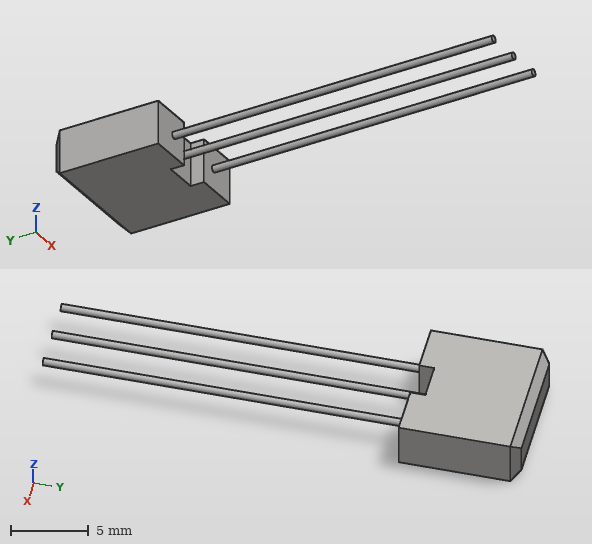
import cadquery as cq

body_width = 9.0
body_length = 8.0
body_thickness = 3.2
rear_bevel = 0.6

notch_width = 2.5
notch_depth = 1.0

lead_count = 3
lead_pitch = 2.5
lead_diameter = 0.5
lead_reach = 24.0


def make_body():
    block = cq.Workplane("XY").box(body_width, body_length, body_thickness, centered=(True, False, True))
    block = block.faces(">Y").chamfer(rear_bevel)
    notch = cq.Workplane("XY").box(notch_width, notch_depth, body_thickness, centered=(True, False, True))
    return block.cut(notch)


def make_lead(x):
    return (
        cq.Workplane("XZ", origin=(x, notch_depth, 0))
        .circle(lead_diameter / 2)
        .extrude(lead_reach + notch_depth)
    )


result = make_body()
for index in range(lead_count):
    lead_x = (index - (lead_count - 1) / 2) * lead_pitch
    result = result.union(make_lead(lead_x))